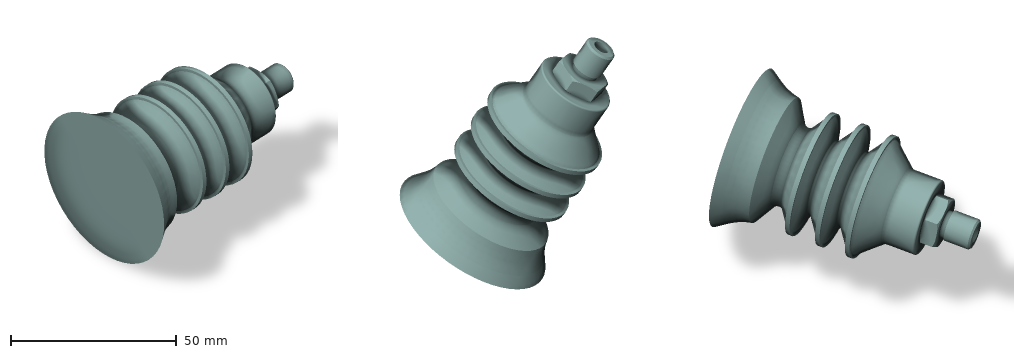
import cadquery as cq
import math


total_length = 76.5

thread_radius = 9.73 / 2
thread_neck_radius = 8.57 / 2
thread_chamfer = thread_radius - thread_neck_radius
thread_neck_length = 1.6
bore_radius = 5 / 2
bore_end_y = 52.0

hex_across_flats = 15.0
hex_height = 5.0
hex_base_y = 61.5
hex_top_y = hex_base_y + hex_height
hex_turn = 3.7
hex_corner_radius = hex_across_flats / math.sqrt(3)
hex_bevel_inset = 1.0
hex_bevel_angle = 30
hex_bevel_height = hex_bevel_inset * math.tan(math.radians(hex_bevel_angle))

collar_radius = 24 / 2
collar_top_y = hex_base_y
collar_edge_round = 0.5
collar_end_y = 52.1
shoulder_end_y = 51.0
shoulder_end_radius = 12.3

rim_radius = 39.3 / 2
rim_width = 1.5
rim_root_radius = 18.7
fold_pitch = 9.8
first_rim_y = 42.05
fold_count = 3
waist_edge_radius = 12.0
waist_depth = 0.2
waist_start_drop = 5.0
waist_end_drop = 5.8

skirt_waist_start = (13.1, 18.35)
skirt_waist_middle = (12.7, 16.8)
skirt_waist_end = (13.4, 15.2)

skirt_top = (20.15, 10.9)
skirt_curve_middle = (21.3, 7.0)
skirt_curve_end = (23.2, 3.45)
lip_radius = 51 / 2


def rim_outline(profile, rim_y):
    """Continue the outline around one rim, from its collar side to its lip side."""
    return (
        profile.lineTo(rim_root_radius, rim_y + rim_width)
        .lineTo(rim_radius, rim_y + rim_width)
        .lineTo(rim_radius, rim_y)
        .lineTo(rim_root_radius, rim_y)
    )


def waist_outline(profile, rim_y):
    """Continue the outline into the rounded waist on the lip side of a rim."""
    start_y = rim_y - waist_start_drop
    end_y = rim_y - waist_end_drop
    return profile.lineTo(waist_edge_radius, start_y).threePointArc(
        (waist_edge_radius - waist_depth, (start_y + end_y) / 2),
        (waist_edge_radius, end_y),
    )


def make_cup():
    """Collar, bellows and lip skirt; outline points are (radius, Y)."""
    round_offset = collar_edge_round * math.sqrt(0.5)
    round_center_radius = collar_radius - collar_edge_round
    round_center_y = collar_top_y - collar_edge_round
    profile = (
        cq.Workplane("XY")
        .moveTo(0, collar_top_y)
        .lineTo(round_center_radius, collar_top_y)
        .threePointArc(
            (round_center_radius + round_offset, round_center_y + round_offset),
            (collar_radius, round_center_y),
        )
        .lineTo(collar_radius, collar_end_y)
        .tangentArcPoint((shoulder_end_radius, shoulder_end_y), relative=False)
    )
    for fold in range(fold_count):
        rim_y = first_rim_y - fold * fold_pitch
        profile = rim_outline(profile, rim_y)
        if fold < fold_count - 1:
            profile = waist_outline(profile, rim_y)
    profile = (
        profile.lineTo(*skirt_waist_start)
        .threePointArc(skirt_waist_middle, skirt_waist_end)
        .lineTo(*skirt_top)
        .threePointArc(skirt_curve_middle, skirt_curve_end)
        .lineTo(lip_radius, 0)
        .lineTo(0, 0)
        .close()
    )
    return profile.revolve(360, (0, 0), (0, 1))


def make_hexagon():
    """Hexagon with its corners bevelled at both ends."""
    prism = (
        cq.Workplane("XZ", origin=(0, hex_top_y, 0))
        .polygon(6, 2 * hex_corner_radius)
        .extrude(hex_height)
        .rotate((0, 0, 0), (0, 1, 0), hex_turn)
    )
    bevel_radius = hex_corner_radius - hex_bevel_inset
    envelope = (
        cq.Workplane("XY")
        .moveTo(0, hex_base_y)
        .lineTo(bevel_radius, hex_base_y)
        .lineTo(hex_corner_radius, hex_base_y + hex_bevel_height)
        .lineTo(hex_corner_radius, hex_top_y - hex_bevel_height)
        .lineTo(bevel_radius, hex_top_y)
        .lineTo(0, hex_top_y)
        .close()
        .revolve(360, (0, 0), (0, 1))
    )
    return prism.intersect(envelope)


def make_thread():
    """Plain thread cylinder with an undercut next to the hexagon and a chamfered end."""
    thread_start_y = hex_top_y + thread_neck_length
    return (
        cq.Workplane("XY")
        .moveTo(0, hex_top_y)
        .lineTo(thread_neck_radius, hex_top_y)
        .lineTo(thread_neck_radius, thread_start_y)
        .lineTo(thread_radius, thread_start_y)
        .lineTo(thread_radius, total_length - thread_chamfer)
        .lineTo(thread_neck_radius, total_length)
        .lineTo(0, total_length)
        .close()
        .revolve(360, (0, 0), (0, 1))
    )


def make_bore():
    """Blind air bore entering from the threaded end."""
    return (
        cq.Workplane("XZ", origin=(0, total_length, 0))
        .circle(bore_radius)
        .extrude(total_length - bore_end_y)
    )


result = make_cup().union(make_hexagon()).union(make_thread()).cut(make_bore())